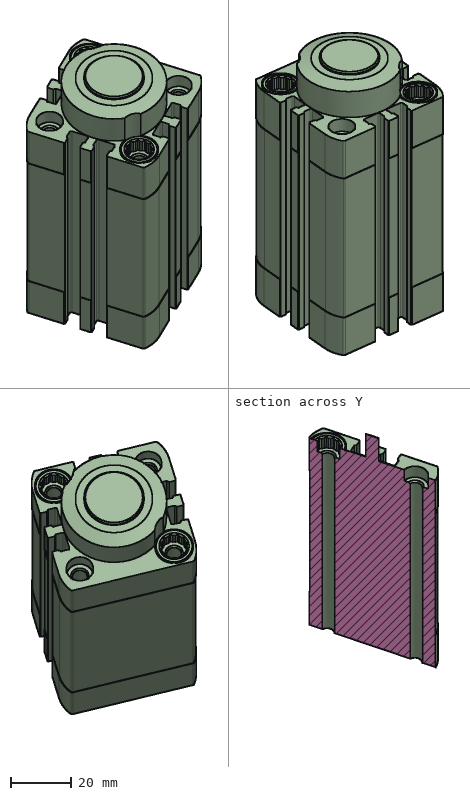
import cadquery as cq
import math


width = 47.0
half_width = width / 2
housing_height = 86.0
cap_height = 15.1
barrel_inset = 0.15
corner_radius = 12.2
corner_edge_radius = 0.8
bolt_offset = 16.25

slot_mouth_width = 5.4
slot_inner_width = 6.7
slot_depth = 6.0
slot_lip_depth = 2.4
slot_spacing = 9.7
slot_corner_radius = 0.6
slot_edge_chamfer = 0.3

collar_diameter = 35.0
collar_cone_diameter = 25.6
collar_shoulder_z = 96.4
collar_top_z = 98.0

screw_hole_diameter = 4.92
screw_hole_countersink = 6.0
screw_hole_countersink_angle = 90
counterbore_diameter = 9.0
counterbore_depth = 5.0
socket_bore_diameter = 8.57
socket_hexagon_flats = 8.0
socket_hexagon_turn = 30
socket_countersink = 10.0
socket_countersink_angle = 120
ring_groove_diameter = 12.8
ring_groove_width = 0.4

rod_diameter = 20.0
rod_top_z = 99.0
rod_bottom_z = cap_height
rod_chamfer = 0.5

plain_corners = [(-bolt_offset, -bolt_offset), (bolt_offset, bolt_offset)]
socket_corners = [(-bolt_offset, bolt_offset), (bolt_offset, -bolt_offset)]


def block(bottom_z, height, inset):
    """Block whose corners curve from the X sides towards the flat Y sides."""
    half = half_width - inset
    radius = corner_radius - inset
    arc_center_x = half - radius
    corner_x = arc_center_x + math.sqrt(radius**2 - (half - bolt_offset) ** 2)
    mid_angle = math.asin((half - bolt_offset) / radius) / 2
    mid_x = arc_center_x + radius * math.cos(mid_angle)
    mid_y = bolt_offset + radius * math.sin(mid_angle)
    return (
        cq.Workplane("XY", origin=(0, 0, bottom_z))
        .moveTo(half, -bolt_offset)
        .lineTo(half, bolt_offset)
        .threePointArc((mid_x, mid_y), (corner_x, half))
        .lineTo(-corner_x, half)
        .threePointArc((-mid_x, mid_y), (-half, bolt_offset))
        .lineTo(-half, -bolt_offset)
        .threePointArc((-mid_x, -mid_y), (-corner_x, -half))
        .lineTo(corner_x, -half)
        .threePointArc((mid_x, -mid_y), (half, -bolt_offset))
        .close()
        .extrude(height)
        .edges("|Z and (>Y or <Y)")
        .fillet(corner_edge_radius - inset)
    )


def sensor_slot(center_x):
    """T-slot opening to -Y with broken mouth edges, as tall as the housing."""
    mouth = slot_mouth_width / 2
    inner = slot_inner_width / 2
    lip_y = -half_width + slot_lip_depth
    ramp_y = lip_y + inner - mouth
    floor_y = -half_width + slot_depth
    return (
        cq.Workplane("XY")
        .polyline(
            [
                (center_x - mouth - slot_edge_chamfer, -half_width),
                (center_x + mouth + slot_edge_chamfer, -half_width),
                (center_x + mouth, -half_width + slot_edge_chamfer),
                (center_x + mouth, lip_y),
                (center_x + inner, ramp_y),
                (center_x + inner, floor_y),
                (center_x - inner, floor_y),
                (center_x - inner, ramp_y),
                (center_x - mouth, lip_y),
                (center_x - mouth, -half_width + slot_edge_chamfer),
            ]
        )
        .close()
        .extrude(housing_height)
        .edges("|Z and >Y")
        .fillet(slot_corner_radius)
    )


def hole_with_countersink(top_z, bottom_z, diameter, countersink_diameter, countersink_angle):
    """Round cutter on the Z axis with a countersink at its top."""
    radius = diameter / 2
    top_radius = countersink_diameter / 2
    countersink_depth = (top_radius - radius) / math.tan(math.radians(countersink_angle / 2))
    return (
        cq.Workplane("XZ")
        .polyline(
            [
                (0, bottom_z),
                (radius, bottom_z),
                (radius, top_z - countersink_depth),
                (top_radius, top_z),
                (0, top_z),
            ]
        )
        .close()
        .revolve(360, (0, 0, 0), (0, 1, 0))
    )


def twelve_point_socket(bottom_z):
    """Countersunk bore whose wall carries the twelve corners of two crossed hexagons."""
    socket = hole_with_countersink(
        housing_height,
        bottom_z,
        socket_bore_diameter,
        socket_countersink,
        socket_countersink_angle,
    )
    hexagon = (
        cq.Workplane("XY", origin=(0, 0, bottom_z))
        .polygon(6, socket_hexagon_flats / math.cos(math.radians(socket_hexagon_turn)))
        .extrude(housing_height - bottom_z)
    )
    for angle in (0, socket_hexagon_turn):
        socket = socket.union(hexagon.rotate((0, 0, 0), (0, 0, 1), angle))
    return socket


def ring_groove():
    """Groove around a socket, with an upright outer wall and a sloping inner wall."""
    outer = ring_groove_diameter / 2
    return (
        cq.Workplane("XZ")
        .polyline(
            [
                (outer - ring_groove_width, housing_height),
                (outer, housing_height),
                (outer, housing_height - ring_groove_width),
            ]
        )
        .close()
        .revolve(360, (0, 0, 0), (0, 1, 0))
    )


def guide_collar():
    """Collar with a conical top, cleared beside the two socket corners."""
    collar = (
        cq.Workplane("XZ")
        .polyline(
            [
                (0, housing_height),
                (collar_diameter / 2, housing_height),
                (collar_diameter / 2, collar_shoulder_z),
                (collar_cone_diameter / 2, collar_top_z),
                (0, collar_top_z),
            ]
        )
        .close()
        .revolve(360, (0, 0, 0), (0, 1, 0))
    )
    clearance = (
        cq.Workplane("XY", origin=(0, 0, housing_height))
        .pushPoints(socket_corners)
        .circle(ring_groove_diameter / 2)
        .extrude(collar_top_z - housing_height)
    )
    return collar.cut(clearance)


def make_housing():
    barrel_height = housing_height - 2 * cap_height
    housing = block(0, cap_height, 0)
    housing = housing.union(block(cap_height, barrel_height, barrel_inset))
    housing = housing.union(block(housing_height - cap_height, cap_height, 0))

    for side_angle in (-90, 0, 90):
        for center_x in (-slot_spacing / 2, slot_spacing / 2):
            slot = sensor_slot(center_x).rotate((0, 0, 0), (0, 0, 1), side_angle)
            housing = housing.cut(slot)

    housing = housing.union(guide_collar())

    step_z = housing_height - counterbore_depth
    screw_hole = hole_with_countersink(
        step_z, 0, screw_hole_diameter, screw_hole_countersink, screw_hole_countersink_angle
    )
    counterbore = (
        cq.Workplane("XY", origin=(0, 0, step_z))
        .circle(counterbore_diameter / 2)
        .extrude(counterbore_depth)
    )
    socket = twelve_point_socket(step_z)
    for x, y in plain_corners:
        housing = housing.cut(screw_hole.translate((x, y, 0)))
        housing = housing.cut(counterbore.translate((x, y, 0)))
    for x, y in socket_corners:
        housing = housing.cut(screw_hole.translate((x, y, 0)))
        housing = housing.cut(socket.translate((x, y, 0)))
        housing = housing.cut(ring_groove().translate((x, y, 0)))

    rod_bore = (
        cq.Workplane("XY", origin=(0, 0, rod_bottom_z))
        .circle(rod_diameter / 2)
        .extrude(collar_top_z - rod_bottom_z)
    )
    return housing.cut(rod_bore)


def make_rod():
    return (
        cq.Workplane("XY", origin=(0, 0, rod_bottom_z))
        .circle(rod_diameter / 2)
        .extrude(rod_top_z - rod_bottom_z)
        .faces(">Z")
        .chamfer(rod_chamfer)
    )


housing = make_housing()
rod = make_rod()

result = cq.Compound.makeCompound([housing.val(), rod.val()])